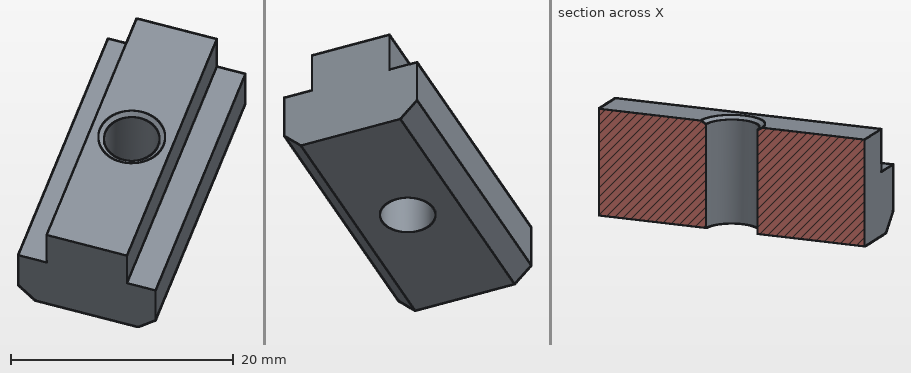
import cadquery as cq

length = 26.0
base_width = 13.0
height = 10.0

neck_width = 7.6
neck_height = 4.0
bevel = 1.65

hole_diameter = 5.0
mouth_diameter = 6.0
mouth_angle = 120.0

shoulder_z = height - neck_height


def make_base():
    """Wide lower bar with its two long bottom edges bevelled."""
    base = cq.Workplane("XY").box(base_width, length, shoulder_z, centered=(True, True, False))
    return base.faces("<Z").edges("|Y").chamfer(bevel)


def make_neck():
    """Narrow bar standing along the middle of the base."""
    neck = cq.Workplane("XY").box(neck_width, length, neck_height, centered=(True, True, False))
    return neck.translate((0, 0, shoulder_z))


body = make_base().union(make_neck())

result = body.faces(">Z").workplane(origin=(0, 0, height)).cskHole(
    hole_diameter, mouth_diameter, mouth_angle
)